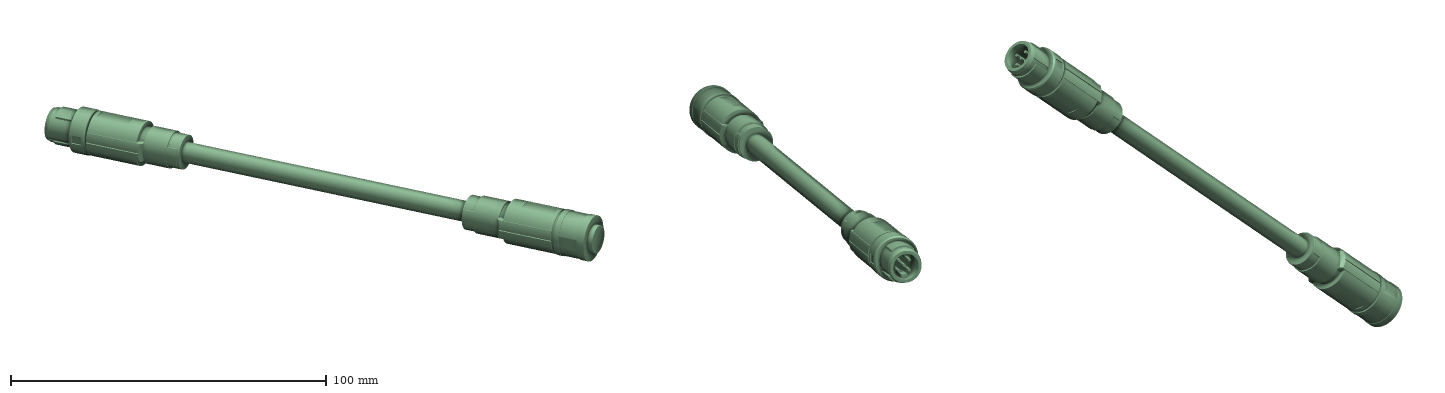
import cadquery as cq
import math

length = 191.8
cable_radius = 3.35

outer_radius = 7.5
grip_radius = 7.3
sleeve_radius = 6.1
tail_radius = 5.65
neck_radius = 5.5
gap_radius = 5.0
nose_radius = 4.6
edge_chamfer = 0.4

tip_chamfer_length = 1.3
tip_chamfer_depth = 0.4
collar_start = 9.2
collar_end = 14.8
male_grip_start = 15.5
male_grip_end = 32.8
male_sleeve_start = 35.0
male_sleeve_end = 43.0
male_tail_end = 47.2

female_tail_start = 146.5
female_sleeve_start = 150.5
female_sleeve_end = 159.4
female_grip_start = 161.5
female_grip_end = 178.5
nut_start = 179.5
nut_flat_start = 181.3
nut_flat_end = 187.5
nut_end = 190.0
nut_groove_radius = 7.0
nut_waist_radius = 7.3

band_half_width = 3.16
band_radius = outer_radius
band_overhang = 1.0
band_ramp = 1.2
band_core = 3.8
slit_width = 0.4
slit_depth = 0.5

label_length = 11.1
label_width = 4.2
label_from_front = 1.3

collar_flat_width = 2.9
collar_flat_level = 7.0
collar_rim = 1.2
nut_flat_width = 4.0
tail_panel_half_width = band_half_width
tail_panel_radius = 6.0
tail_panel_inset = 0.8

tip_radius = tail_radius
bore_radius = 4.2
bore_depth = 7.7
pin_radius = 0.5
pin_offset = 1.7
pin_setback = 1.5
key_width = 2.0
key_height = 1.3
key_root = 0.5
top_pad_half_width = 3.74
pad_start = 3.0
pad_length = 5.5
pad_root_radius = 5.0
groove_top = -2.0
groove_bottom = -3.3
groove_depth = 0.29


def cylinder(x_start, x_end, radius):
    return cq.Workplane("YZ", origin=(x_start, 0, 0)).circle(radius).extrude(x_end - x_start)


def block(x_start, x_end, y_start, y_end, z_start, z_end):
    return cq.Workplane("XY").box(
        x_end - x_start, y_end - y_start, z_end - z_start, centered=False
    ).translate((x_start, y_start, z_start))


def chord_height(radius, chord):
    """Distance from the axis to a flat of the given width on a round surface."""
    return math.sqrt(radius**2 - (chord / 2) ** 2)


def both_sides(shape):
    """The shape together with its mirror image across the XZ plane."""
    return shape.union(shape.mirror("XZ"))


def turned_body():
    """Everything that is round about the X axis: the cable and both connectors."""
    body = cylinder(male_sleeve_end, female_sleeve_start, cable_radius)
    tip = cylinder(0, collar_start, tip_radius)
    tip = tip.faces("<X").chamfer(tip_chamfer_length, tip_chamfer_depth)
    collar = cylinder(collar_start, collar_end, outer_radius).edges().chamfer(edge_chamfer)
    parts = [
        tip,
        collar,
        cylinder(collar_end, male_grip_start, gap_radius),
        cylinder(male_grip_start, male_grip_end, grip_radius),
        cylinder(male_grip_end, male_sleeve_start, neck_radius),
        cylinder(male_sleeve_start, male_sleeve_end, sleeve_radius),
        cylinder(male_sleeve_end, male_tail_end, tail_radius),
        cylinder(female_tail_start, female_sleeve_start, tail_radius),
        cylinder(female_sleeve_start, female_sleeve_end, sleeve_radius),
        cylinder(female_sleeve_end, female_grip_start, neck_radius),
        cylinder(female_grip_start, female_grip_end, grip_radius),
        cylinder(female_grip_end, nut_start, nut_groove_radius),
        cylinder(nut_start, nut_flat_start, outer_radius),
        cylinder(nut_flat_start, nut_flat_end, nut_waist_radius),
        cylinder(nut_flat_end, nut_end, outer_radius),
        cylinder(nut_end, length, nose_radius),
    ]
    for part in parts:
        body = body.union(part)
    return body


def side_band(x_front, x_back):
    """One -Y band: stands above the grip, overhangs its cable end and ramps down there."""
    toward_cable = math.copysign(1, x_back - x_front)
    x_end = x_back + toward_cable * band_overhang
    x_foot = x_end + toward_cable * band_ramp
    outline = (
        cq.Workplane("XY", origin=(0, 0, -band_half_width))
        .polyline([
            (x_front, -band_core),
            (x_front, -band_radius),
            (x_end, -band_radius),
            (x_foot, -sleeve_radius),
            (x_foot, -band_core),
        ])
        .close()
        .extrude(2 * band_half_width)
    )
    return outline.intersect(cylinder(min(x_front, x_foot), max(x_front, x_foot), band_radius))


def add_grip_details(body, x_front, x_back):
    """Side bands with a slit, and label recesses; x_front is the mating end of the grip."""
    body = body.union(both_sides(side_band(x_front, x_back)))
    slit_end = x_back + math.copysign(band_overhang, x_back - x_front)
    slit = block(
        min(x_front, slit_end), max(x_front, slit_end),
        -band_radius, slit_depth - band_radius,
        -slit_width / 2, slit_width / 2,
    )
    body = body.cut(both_sides(slit))

    label_center = x_front + math.copysign(label_from_front + label_length / 2, x_back - x_front)
    level = chord_height(grip_radius, label_width)
    label = block(
        label_center - label_length / 2, label_center + label_length / 2,
        -label_width / 2, label_width / 2,
        level, grip_radius,
    )
    return body.cut(label).cut(label.mirror("XY"))


def side_flats(x_start, x_end, width, level):
    return both_sides(block(x_start, x_end, -outer_radius, -level, -width / 2, width / 2))


def tail_panels(x_start, x_end):
    panel = block(
        x_start, x_end, -outer_radius, -band_core, -tail_panel_half_width, tail_panel_half_width
    )
    return both_sides(panel.intersect(cylinder(x_start, x_end, tail_panel_radius)))


def add_pins_and_key(body):
    """Bore the tip out, leaving five pins and a coding key standing on the bore floor."""
    body = body.cut(cylinder(0, bore_depth, bore_radius))
    pin_places = [(0, 0)]
    for side_y in (-1, 1):
        for side_z in (-1, 1):
            pin_places.append((side_y * pin_offset, side_z * pin_offset))
    for y, z in pin_places:
        body = body.union(cylinder(pin_setback, bore_depth, pin_radius).translate((0, y, z)))
    key = block(
        pin_setback, bore_depth,
        -key_width / 2, key_width / 2,
        -bore_radius - key_root, key_height - bore_radius,
    )
    return body.union(key)


def add_tip_pads(body):
    """Raised pads on the top and bottom of the tip, with a groove along each side."""
    ring = cylinder(tip_chamfer_length, collar_start, outer_radius).cut(
        cylinder(tip_chamfer_length, collar_start, tip_radius - groove_depth)
    )
    groove = ring.intersect(block(
        tip_chamfer_length, collar_start,
        -outer_radius, outer_radius,
        groove_bottom, groove_top,
    ))
    body = body.cut(groove)

    pad_end = pad_start + pad_length
    shell = cylinder(pad_start, pad_end, sleeve_radius).cut(
        cylinder(pad_start, pad_end, pad_root_radius)
    )
    top_pad = shell.intersect(
        block(pad_start, pad_end, -top_pad_half_width, top_pad_half_width, 0, outer_radius)
    )
    bottom_pad = shell.intersect(
        block(pad_start, pad_end, -outer_radius, outer_radius, -outer_radius, groove_bottom)
    )
    return body.union(top_pad).union(bottom_pad)


result = turned_body()
result = add_grip_details(result, male_grip_start, male_grip_end)
result = add_grip_details(result, female_grip_end, female_grip_start)
result = add_pins_and_key(result)
result = add_tip_pads(result)
result = result.cut(side_flats(
    collar_start + collar_rim, collar_end - collar_rim, collar_flat_width, collar_flat_level
))
nut_flat_level = chord_height(nut_waist_radius, nut_flat_width)
result = result.cut(side_flats(nut_flat_start, nut_flat_end, nut_flat_width, nut_flat_level))
result = result.union(tail_panels(male_sleeve_end, male_tail_end - tail_panel_inset))
result = result.union(tail_panels(female_tail_start + tail_panel_inset, female_sleeve_start))